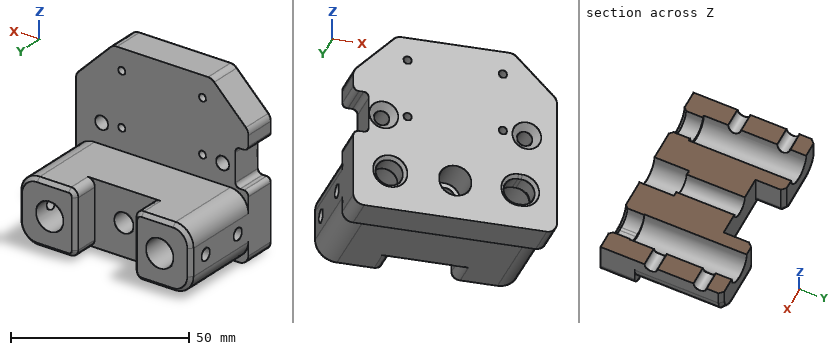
import cadquery as cq

width = 59.7
height = 55.2
depth = 38.1
half_width = width / 2

plate_thickness = 10.75
top_bevel = 12.8
corner_radius = 3.1
notch_depth = 4.5
notch_bottom = 23.35
notch_top = 36.05
notch_radius = 1.55

block_height = 21.6
block_center_z = 12.0
block_radius = 6.3
prong_gap = 20.2
gap_floor_y = 28.95
prong_radius = 2.5
end_chamfer = 1.25

bore_x = 19.05
bore_diameter = 8.0
slot_straight_length = 1.1
bore_chamfer = 1.0
rear_bore_diameter = 9.5
rear_bore_start_y = 6.2
center_bore_diameter = 6.6
center_counterbore_diameter = 9.5
center_counterbore_depth = plate_thickness

pin_diameter = 2.4
pin_x = 13.95
pin_heights = (30.15, 48.1)
screw_diameter = 4.5
screw_head_diameter = 8.5
screw_head_angle = 90
screw_x = 20.95
screw_z = 29.6

cross_diameter = 3.95
cross_positions_y = (15.75, 31.05)


def front_plane(y=0.0):
    """Sketch plane facing -Y at depth y; its axes are X and Z, positive extrusion goes to -Y."""
    return cq.Workplane("XZ", origin=(0, y, 0))


def make_plate():
    outline = [
        (-half_width, 0),
        (half_width, 0),
        (half_width, height - top_bevel),
        (half_width - top_bevel, height),
        (top_bevel - half_width, height),
        (-half_width, height - top_bevel),
    ]
    plate = front_plane().polyline(outline).close().extrude(-plate_thickness)
    plate = plate.edges("|Y").fillet(corner_radius)
    notch = (
        front_plane()
        .center(-half_width, (notch_bottom + notch_top) / 2)
        .rect(2 * notch_depth, notch_top - notch_bottom)
        .extrude(-plate_thickness)
    )
    plate = plate.cut(notch)
    notch_zone = cq.selectors.BoxSelector(
        (-half_width - 0.6, -0.6, notch_bottom - 0.6),
        (-half_width + notch_depth + 0.6, plate_thickness + 0.6, notch_top + 0.6),
    )
    return plate.edges("|Y").edges(notch_zone).fillet(notch_radius)


def rounded_bar(center_x, bar_width, start_y, end_y):
    return (
        front_plane(start_y)
        .center(center_x, block_center_z)
        .rect(bar_width, block_height)
        .extrude(start_y - end_y)
    )


def make_block():
    block = rounded_bar(0, width, plate_thickness, gap_floor_y).edges("|Y").fillet(block_radius)
    prong_width = (width - prong_gap) / 2
    prong_x = (width - prong_width) / 2
    for side in (-1, 1):
        outer, inner = ("<X", ">X") if side < 0 else (">X", "<X")
        prong = rounded_bar(side * prong_x, prong_width, gap_floor_y, depth)
        prong = prong.faces(outer).edges("|Y").fillet(block_radius)
        prong = prong.faces(inner).edges("|Y").fillet(prong_radius)
        prong = prong.faces(">Y").edges().chamfer(end_chamfer)
        block = block.union(prong)
    return block


def bore_outline(x, straight_length, radius):
    """Circle on the bore axis, or a slot along X when there is a straight stretch."""
    sketch_plane = front_plane().center(x, block_center_z)
    if straight_length == 0:
        return sketch_plane.circle(radius)
    return sketch_plane.slot2D(straight_length + 2 * radius, 2 * radius)


def flared_bore(x, straight_length):
    """Tool for a bore through the full depth with a chamfered front mouth and a wider rear part."""
    radius = bore_diameter / 2
    bore = bore_outline(x, straight_length, radius).extrude(-depth)
    mouth = bore_outline(x, straight_length, radius + bore_chamfer).extrude(-bore_chamfer, taper=45)
    rear = (
        front_plane(rear_bore_start_y)
        .center(x, block_center_z)
        .circle(rear_bore_diameter / 2)
        .extrude(rear_bore_start_y - depth)
    )
    return bore.union(mouth).union(rear)


def cut_center_bore(body):
    center = front_plane().center(0, block_center_z)
    body = body.cut(center.circle(center_bore_diameter / 2).extrude(-depth))
    return body.cut(center.circle(center_counterbore_diameter / 2).extrude(-center_counterbore_depth))


def cut_plate_holes(body):
    pins = [(side * pin_x, z) for side in (-1, 1) for z in pin_heights]
    body = body.cut(front_plane().pushPoints(pins).circle(pin_diameter / 2).extrude(-plate_thickness))
    screws = [(-screw_x, screw_z), (screw_x, screw_z)]
    return (
        front_plane()
        .add(body)
        .pushPoints(screws)
        .cskHole(screw_diameter, screw_head_diameter, screw_head_angle, plate_thickness)
    )


def cut_cross_holes(body):
    points = [(y, block_center_z) for y in cross_positions_y]
    for side in (-1, 1):
        holes = (
            cq.Workplane("YZ", origin=(side * half_width, 0, 0))
            .pushPoints(points)
            .circle(cross_diameter / 2)
            .extrude(-side * (half_width - bore_x))
        )
        body = body.cut(holes)
    return body


result = make_plate().union(make_block())
result = result.cut(flared_bore(-bore_x, 0))
result = result.cut(flared_bore(bore_x, slot_straight_length))
result = cut_center_bore(result)
result = cut_plate_holes(result)
result = cut_cross_holes(result)